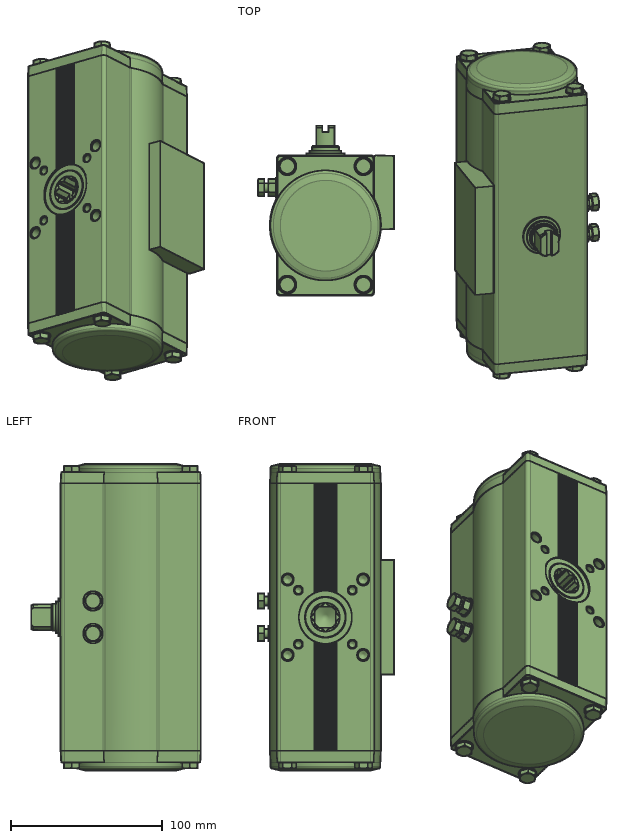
import cadquery as cq
import math

total_length = 202.0
block_width = 64.2
block_depth = 92.5
corner_radius = 2.5
barrel_diameter = 73.3
blend_radius = 2.5

cap_height = 13.0
cap_plate_height = 7.5
cap_draft = 0.5
cap_edge_chamfer = 0.2
crown_top_diameter = 59.8
crown_edge_diameter = 69.0
crown_edge_drop = 1.2
crown_round_drop = 2.8

hex_corners = 11.5
hex_face_diameter = 9.9
hex_chamfer_height = 0.5
bolt_spacing_x = 50.0
bolt_spacing_y = 78.0
bolt_head_height = 4.0
bolt_washer_diameter = 12.0
bolt_washer_height = 0.5

screw_y = 24.8
screw_spacing = 21.5
screw_end_x = -44.5
screw_head_length = 4.2
screw_nut_length = 5.0
screw_washer_diameter = 13.0
screw_washer_length = 0.6
screw_diameter = 6.0
screw_depth = 10.0

shaft_diameter = 27.0
shaft_edge_chamfer = 0.5
journal_diameter = 18.0
journal_start_y = 30.3
journal_end_y = 52.3
journal_chamfer = 0.8
drive_diameter = 17.4
drive_flats = 12.3
drive_end_y = 65.6
drive_chamfer = 0.6
drive_chamfer_length = 1.5
slot_size = 4.0
socket_square = 14.0
socket_corners = 19.0
socket_sink_depth = 1.2
socket_drill_diameter = 16.2
socket_depth = 16.2
star_depth = 13.1

ring_diameter = 25.2
collar_diameter = 21.0
ring_thickness = 1.5
ring_total = 3.0

recess_diameter = 35.0
recess_depth = 1.2
large_hole_spacing = 49.7
large_hole_diameter = 6.7
large_hole_mouth = 8.0
large_hole_depth = 12.1
small_hole_spacing = 35.5
small_hole_diameter = 4.8
small_hole_mouth = 6.0
small_hole_depth = 10.0
drill_angle = 118.0

flute_band_width = 15.0
flute_count = 16
flute_depth = 0.5

plate_end_x = 45.2
plate_length = 75.5
plate_bottom_y = -2.8
plate_top_y = 46.3
plate_draft = 0.5
plate_chamfer = 1.0

joint_z = total_length / 2 - cap_height
side_x = block_width / 2
front_y = -block_depth / 2
back_y = block_depth / 2
floor_y = front_y + recess_depth
barrel_radius = barrel_diameter / 2
screw_heights = (-screw_spacing / 2, screw_spacing / 2)


def along_y(diameter, start_y, end_y):
    """Cylinder on the Y axis."""
    return cq.Workplane("XZ", origin=(0, start_y, 0)).circle(diameter / 2).extrude(start_y - end_y)


def along_x(diameter, start_x, end_x):
    """Cylinder on the X axis."""
    return cq.Workplane("YZ", origin=(start_x, 0, 0)).circle(diameter / 2).extrude(end_x - start_x)


def hex_prism(height):
    """Upright hexagon with corners on the X axis and its upper corners chamfered."""
    prism = cq.Workplane("XY").polygon(6, hex_corners).extrude(height)
    envelope = (
        cq.Workplane("XZ")
        .moveTo(0, 0)
        .lineTo(hex_corners / 2, 0)
        .lineTo(hex_corners / 2, height - hex_chamfer_height)
        .lineTo(hex_face_diameter / 2, height)
        .lineTo(0, height)
        .close()
        .revolve(360, (0, 0, 0), (0, 1, 0))
    )
    return prism.intersect(envelope)


def tapped_hole(x, z, diameter, mouth, depth):
    """Countersunk blind hole in the front face with a drill point."""
    tip = diameter / 2 / math.tan(math.radians(drill_angle / 2))
    sink = (mouth - diameter) / 2
    return (
        cq.Workplane("XY", origin=(x, front_y, z))
        .moveTo(0, 0)
        .lineTo(mouth / 2, 0)
        .lineTo(diameter / 2, sink)
        .lineTo(diameter / 2, depth)
        .lineTo(0, depth + tip)
        .close()
        .revolve(360, (0, 0, 0), (0, 1, 0))
    )


def tapped_holes():
    holes = cq.Workplane("XY")
    patterns = [
        (large_hole_spacing, large_hole_diameter, large_hole_mouth, large_hole_depth),
        (small_hole_spacing, small_hole_diameter, small_hole_mouth, small_hole_depth),
    ]
    for spacing, diameter, mouth, depth in patterns:
        for side_sign in (-1, 1):
            for end_sign in (-1, 1):
                x = side_sign * spacing / 2
                z = end_sign * spacing / 2
                holes = holes.add(tapped_hole(x, z, diameter, mouth, depth))
    return holes.combine()


def flutes():
    """Band of V grooves that run the full height of the front face."""
    pitch = flute_band_width / flute_count
    outline = cq.Workplane("XY", origin=(0, front_y, -joint_z)).moveTo(-flute_band_width / 2, 0)
    for index in range(flute_count):
        left = -flute_band_width / 2 + index * pitch
        outline = outline.lineTo(left + pitch / 2, flute_depth).lineTo(left + pitch, 0)
    below = -flute_depth
    outline = outline.lineTo(flute_band_width / 2, below).lineTo(-flute_band_width / 2, below)
    return outline.close().extrude(2 * joint_z)


def make_profile():
    """Block and barrel of the extrusion, without bores."""
    block = cq.Workplane("XY").box(block_width, block_depth, 2 * joint_z)
    block = block.edges("|Z").fillet(corner_radius)
    barrel = cq.Workplane("XY").circle(barrel_radius).extrude(joint_z, both=True)
    tolerance = 0.02
    chord = math.sqrt(barrel_radius**2 - side_x**2)
    body = block.union(barrel)
    seams = [
        edge
        for edge in body.edges("|Z").vals()
        if abs(abs(edge.Center().x) - side_x) < tolerance and abs(abs(edge.Center().y) - chord) < tolerance
    ]
    return body.newObject(seams).fillet(blend_radius)


def make_housing():
    body = make_profile()
    body = body.cut(flutes())
    body = body.cut(along_y(recess_diameter, front_y, floor_y))
    body = body.cut(along_y(shaft_diameter, floor_y, journal_start_y))
    body = body.cut(along_y(journal_diameter, journal_start_y, back_y))
    for z in screw_heights:
        hole = along_x(screw_diameter, -side_x, screw_depth - side_x)
        body = body.cut(hole.translate((0, screw_y, z)))
    return body.cut(tapped_holes())


def make_bolt():
    washer = cq.Workplane("XY").circle(bolt_washer_diameter / 2).extrude(bolt_washer_height)
    head = hex_prism(bolt_head_height - bolt_washer_height).translate((0, 0, bolt_washer_height))
    return washer.union(head)


def make_crown():
    """Round boss of the cap, drafted below and rounded at its rim."""
    neck_radius = barrel_radius - cap_draft
    edge_radius = crown_edge_diameter / 2
    round_z = cap_height - crown_round_drop
    edge_z = cap_height - crown_edge_drop
    bulge = math.sqrt(0.5)
    middle = (
        edge_radius + (neck_radius - edge_radius) * bulge,
        round_z + (edge_z - round_z) * bulge,
    )
    return (
        cq.Workplane("XZ")
        .moveTo(0, 0)
        .lineTo(barrel_radius, 0)
        .lineTo(neck_radius, cap_plate_height)
        .lineTo(neck_radius, round_z)
        .threePointArc(middle, (edge_radius, edge_z))
        .lineTo(crown_top_diameter / 2, cap_height)
        .lineTo(0, cap_height)
        .close()
        .revolve(360, (0, 0, 0), (0, 1, 0))
    )


def make_cap():
    """Upper cap, standing on the plane Z = 0."""
    draft_angle = math.degrees(math.atan(cap_draft / cap_plate_height))
    plate = (
        cq.Workplane("XY")
        .sketch()
        .rect(block_width, block_depth)
        .vertices()
        .fillet(corner_radius)
        .finalize()
        .extrude(cap_plate_height, taper=draft_angle)
    )
    plate = plate.faces(">Z").edges().chamfer(cap_edge_chamfer)
    cap = plate.union(make_crown())
    for side_sign in (-1, 1):
        for end_sign in (-1, 1):
            place = (side_sign * bolt_spacing_x / 2, end_sign * bolt_spacing_y / 2, cap_plate_height)
            cap = cap.union(make_bolt().translate(place))
    return cap


def make_stop_screw():
    """Screw along the X axis: head outside, lock nut and washer against the housing side."""
    washer_x = -side_x - screw_washer_length
    nut_x = washer_x - screw_nut_length
    screw = along_x(screw_diameter, screw_end_x + screw_head_length, screw_depth - side_x)
    screw = screw.union(along_x(screw_washer_diameter, washer_x, -side_x))
    for end_x, length in ((screw_end_x, screw_head_length), (nut_x, screw_nut_length)):
        hexagon = hex_prism(length).rotate((0, 0, 0), (0, 0, 1), 90)
        hexagon = hexagon.rotate((0, 0, 0), (0, 1, 0), -90)
        screw = screw.union(hexagon.translate((end_x + length, 0, 0)))
    return screw


def make_drive_end():
    """Round end with two flats, a chamfered tip and a screwdriver slot along Z."""
    end = along_y(drive_diameter, journal_end_y, drive_end_y)
    end = end.faces(">Y").chamfer(drive_chamfer_length, drive_chamfer)
    middle_y = (journal_end_y + drive_end_y) / 2
    flats = cq.Workplane("XY", origin=(0, middle_y, 0)).box(
        drive_flats, drive_end_y - journal_end_y, drive_diameter
    )
    slot = cq.Workplane("XY", origin=(0, drive_end_y, 0)).box(slot_size, 2 * slot_size, drive_diameter)
    return end.intersect(flats).cut(slot)


def square_socket(angle, depth):
    """Square opening along Y with its corners trimmed round."""
    square = cq.Workplane("XZ", origin=(0, floor_y, 0)).transformed(rotate=(0, 0, angle))
    square = square.rect(socket_square, socket_square).extrude(-depth)
    return square.intersect(along_y(socket_corners, floor_y, floor_y + depth))


def make_socket():
    """Two crossed squares with a countersunk mouth and a drilled cone at the bottom."""
    bottom_y = floor_y + socket_depth
    mouth_radius = socket_corners / 2
    drill_radius = socket_drill_diameter / 2
    tip = drill_radius / math.tan(math.radians(drill_angle / 2))
    core = (
        cq.Workplane("XY")
        .moveTo(0, floor_y)
        .lineTo(mouth_radius, floor_y)
        .lineTo(socket_square / 2, floor_y + socket_sink_depth)
        .lineTo(socket_square / 2, bottom_y)
        .lineTo(drill_radius, bottom_y)
        .lineTo(0, bottom_y + tip)
        .close()
        .revolve(360, (0, 0, 0), (0, 1, 0))
    )
    return core.union(square_socket(0, socket_depth)).union(square_socket(45, star_depth))


def make_shaft():
    body = along_y(shaft_diameter, floor_y, journal_start_y)
    body = body.faces("<Y").chamfer(shaft_edge_chamfer)
    journal = along_y(journal_diameter, journal_start_y, journal_end_y)
    journal = journal.faces(">Y").chamfer(journal_chamfer)
    return body.union(journal).union(make_drive_end()).cut(make_socket())


def make_ring():
    """Stepped ring around the journal on the back face."""
    ring = along_y(ring_diameter, back_y, back_y + ring_thickness)
    ring = ring.union(along_y(collar_diameter, back_y, back_y + ring_total))
    return ring.cut(along_y(journal_diameter, back_y, journal_end_y))


def make_plate():
    """Plate on the +X side, fitted around the flat side and the barrel."""
    plate = (
        cq.Workplane("XY", origin=(0, 0, -plate_length / 2))
        .moveTo(side_x, plate_bottom_y)
        .lineTo(plate_end_x, plate_bottom_y + plate_draft)
        .lineTo(plate_end_x, plate_top_y - plate_draft)
        .lineTo(side_x + plate_chamfer, plate_top_y)
        .lineTo(side_x, plate_top_y - plate_chamfer)
        .close()
        .extrude(plate_length)
    )
    return plate.cut(make_profile())


housing = make_housing()
upper_cap = make_cap().translate((0, 0, joint_z))
lower_cap = upper_cap.mirror("XY")
stop_screws = [make_stop_screw().translate((0, screw_y, z)) for z in screw_heights]
shaft = make_shaft()
ring = make_ring()
plate = make_plate()

bodies = [housing, upper_cap, lower_cap, *stop_screws, shaft, ring, plate]
result = cq.Compound.makeCompound([body.solids().val() for body in bodies])